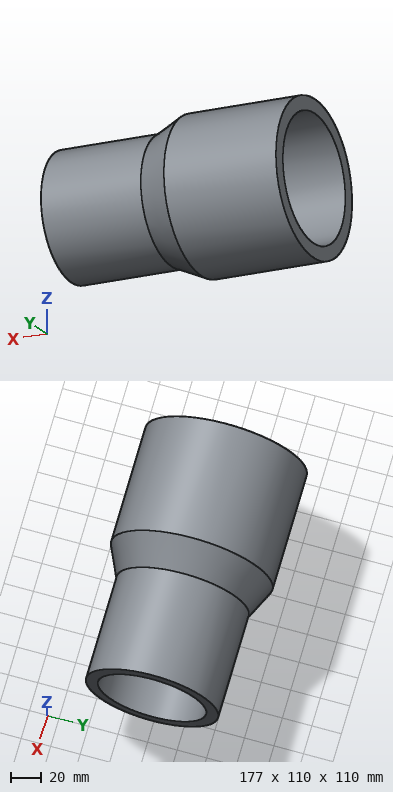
import cadquery as cq

total_length = 177.0
wide_length = 82.0
taper_length = 22.0
wide_diameter = 110.0
narrow_diameter = 90.0
wide_bore = 90.0
narrow_bore = 73.6

taper_start = wide_length
taper_end = wide_length + taper_length


def stepped_solid(start_diameter, end_diameter):
    """Solid of revolution: cylinder, straight cone, smaller cylinder."""
    start_radius = start_diameter / 2
    end_radius = end_diameter / 2
    return (
        cq.Workplane("XY")
        .lineTo(0, start_radius)
        .lineTo(taper_start, start_radius)
        .lineTo(taper_end, end_radius)
        .lineTo(total_length, end_radius)
        .lineTo(total_length, 0)
        .close()
        .revolve(360, (0, 0, 0), (1, 0, 0))
    )


outer_body = stepped_solid(wide_diameter, narrow_diameter)
bore = stepped_solid(wide_bore, narrow_bore)

result = outer_body.cut(bore)